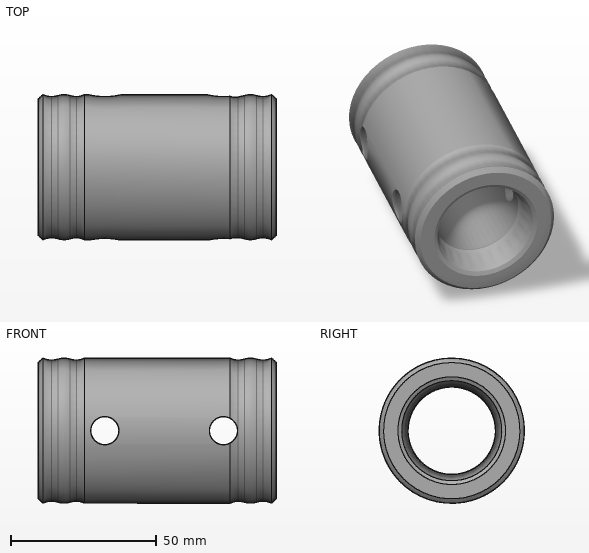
import cadquery as cq
import math

length = 82.0
outer_radius = 25.0
half_length = length / 2

chamfer_length = 1.6
chamfer_depth = 1.55
crest_place = 8.9
crest_half_width = 2.05
groove_offset = 4.3
groove_depth = 0.65
shoulder_place = 15.9

mouth_radius = 18.5
mouth_chamfer_length = 0.8
taper_radius = 17.2
lip_radius = 15.0
lip_place = 11.1
relief_length = 1.0
bore_radius = 15.25

front_hole_diameter = 9.6
back_hole_diameter = 11.65
hole_places = (23.0, 63.8)

crest_drop = groove_depth * crest_half_width / groove_offset
groove_radius = outer_radius - groove_depth


def arc_from_level(level_point, end_point):
    """Midpoint of an arc that is parallel to the axis at level_point and passes through end_point."""
    run = end_point[0] - level_point[0]
    rise = end_point[1] - level_point[1]
    radius = (run**2 + rise**2) / (2 * abs(rise))
    half_angle = math.asin(abs(run) / radius) / 2
    x = level_point[0] + math.copysign(radius * math.sin(half_angle), run)
    y = level_point[1] + math.copysign(radius * (1 - math.cos(half_angle)), rise)
    return (x, y)


def at(place, radius):
    """Profile point at an axial distance from the -X end face."""
    return (place - half_length, radius)


def mirrored(points):
    """The same run of points at the +X end, in travel order."""
    return [(-x, radius) for x, radius in reversed(points)]


def wave_points():
    """Groove, crest and groove of the -X end: arc ends alternating with arc midpoints."""
    outer_start = at(chamfer_length, outer_radius)
    outer_bottom = at(crest_place - groove_offset, groove_radius)
    crest_start = at(crest_place - crest_half_width, outer_radius - crest_drop)
    crest_top = at(crest_place, outer_radius)
    crest_end = at(crest_place + crest_half_width, outer_radius - crest_drop)
    inner_bottom = at(crest_place + groove_offset, groove_radius)
    shoulder = at(shoulder_place, outer_radius)
    return [
        outer_start,
        arc_from_level(outer_bottom, outer_start),
        outer_bottom,
        arc_from_level(outer_bottom, crest_start),
        crest_start,
        crest_top,
        crest_end,
        arc_from_level(inner_bottom, crest_end),
        inner_bottom,
        arc_from_level(inner_bottom, shoulder),
        shoulder,
    ]


def draw_wave(profile, points):
    """Line to the first point, then one arc for each following midpoint and end."""
    profile = profile.lineTo(*points[0])
    for middle, end in zip(points[1::2], points[2::2]):
        profile = profile.threePointArc(middle, end)
    return profile


def sleeve_body():
    wave = wave_points()
    end_face = [at(0, mouth_radius), at(0, outer_radius - chamfer_depth)]
    bore = [
        at(mouth_chamfer_length, taper_radius),
        at(lip_place, lip_radius),
        at(lip_place + relief_length, bore_radius),
    ]
    profile = cq.Workplane("XZ").polyline(end_face)
    profile = draw_wave(profile, wave)
    profile = draw_wave(profile, mirrored(wave))
    for point in mirrored(end_face) + mirrored(bore[::-1]) + bore[::-1]:
        profile = profile.lineTo(*point)
    return profile.close().revolve(360, (0, 0, 0), (1, 0, 0))


def wall_holes(diameter, side):
    """Holes from the axis out through one wall; side is +1 for +Y and -1 for -Y."""
    centres = [(place - half_length, 0) for place in hole_places]
    reach = outer_radius + 0.8
    return cq.Workplane("XZ").pushPoints(centres).circle(diameter / 2).extrude(-side * reach)


front_holes = wall_holes(front_hole_diameter, -1)
back_holes = wall_holes(back_hole_diameter, 1)
result = sleeve_body().cut(front_holes).cut(back_holes)